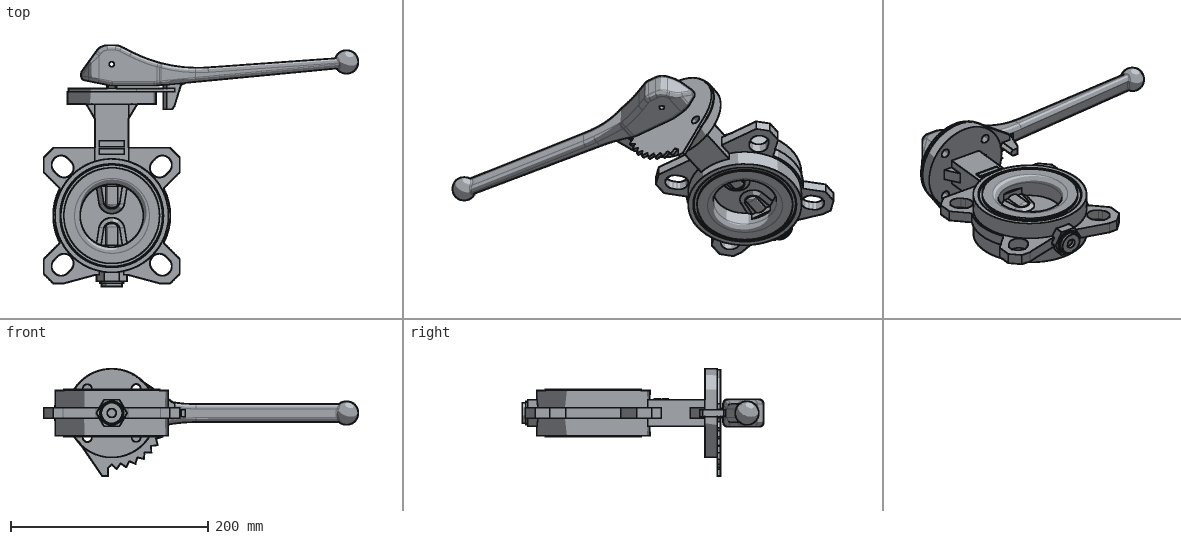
import cadquery as cq
import math

JOIN_DEPTH = 0.5

BODY_DIA = 115.0
BODY_HALF = 23.0
BAND_DIA = 119.0
LUG_HALF_THICK = 5.5
LINER_DIA = 97.0
LINER_HALF = 24.0
GROOVE_DIA = 105.0
GROOVE_DEPTH = 1.0
GROOVE_TAPER = 45.0
BORE_DIA = 64.0
BORE_ROUND = 6.0
FLAT_Y = 30.0
FLAT_HALF_Z = 12.0

LUG_HALF = 69.0
LUG_CHAMFER = 10.0
LUG_INNER = 44.0
LUG_NECK_X = 52.5
LUG_FOOT_X = 49.4
LUG_ROOT = (16.0, -60.0)
SLOT_WIDTH = 19.0
SLOT_OUTER_RADIUS = 72.5
SLOT_INNER_RADIUS = 68.3

NECK_WIDTH = 34.0
NECK_HALF_Z = 13.5
FLANGE_BOTTOM = 113.0
FLANGE_TOP = 125.5
FLANGE_DIA = 90.0
FLANGE_BOLT_CIRCLE = 70.0
FLANGE_HOLE_DIA = 9.0
GUSSET_WIDTH = 9.0
GUSSET_HEIGHT = 15.0
PAD_WIDTH = 25.0
PAD_HEIGHT = 6.0
PAD_RAISE = 1.0
PAD_CENTRES_Y = (65.0, 73.0)

PLATE_TOP = 129.0
PLATE_RADIUS = 44.0
NOTCH_COUNT = 10
NOTCH_PITCH = 90.0 / (NOTCH_COUNT - 1)
VALLEY_RADIUS = 52.0
TIP_RADIUS = 57.0
STOP_RADIUS = 64.0
STOP_OFFSET = 3.7
STOP_WIDTH = 5.9

HEX_FLATS = 27.0
HEX_END = 66.5
COLLAR_DIA = 24.0
COLLAR_END = 68.3
CAP_DIA = 21.0
CAP_END = 72.0
SOCKET_DIA = 9.0
SOCKET_DEPTH = 4.0

DISC_HALF = 2.5
HUB_DIA = 16.0
HUB_INNER_Y = 8.0
HUB_END_ROUND = 3.5
SKIRT_END_Y = 2.0
SKIRT_TURN_Y = 11.5
SKIRT_INNER_HALF = 12.8
SKIRT_OUTER_HALF = 16.6
SKIRT_OUTER_Y = 36.0
SKIRT_HEIGHT = 2.8
SKIRT_TAPER = 60.0

HEAD_TOP = 172.7
HEAD_BOTTOM = 131.4
NOSE_LOW_POINT = (-35.7, 138.7)
HEAD_TOP_START = (-11.3, HEAD_TOP)
HEAD_TOP_END = (7.0, HEAD_TOP)
BACK_TURN = (56.5, 147.4)
GRIP_END_TOP = (232.0, 159.9)
GRIP_END_BOTTOM = (232.0, 149.4)
HEAD_BOTTOM_END = (43.0, HEAD_BOTTOM)
HEAD_BOTTOM_START = (0.0, HEAD_BOTTOM)
HEAD_TOP_ROUND = 13.6
BACK_ROUND = 147.0
HEAD_HALF_Z = 14.0
HEAD_END_X = 47.0
GRIP_HALF_Z = 9.2
GRIP_START_X = 67.0
NOSE_X = -33.2
NOSE_BEND_ROUND = 15.0
HEAD_END_ROUND = 12.0
GRIP_START_ROUND = 150.0
EDGE_ROUND = 4.8
BALL_DIA = 24.0
BALL_CENTRE = (237.91, 155.7)
BALL_JOINT_ROUND = 2.0
PIN_HOLE_DIA = 5.0
PIN_HOLE_Y = 153.4
STEM_SIDE = 10.0
STEM_CHAMFER = 1.4
STEM_ROOT_Y = PIN_HOLE_Y - PIN_HOLE_DIA
PAWL_TIP_Y = 107.7
PAWL_HALF_Z = 3.5
PAWL_ROOT_X = 75.0
PAWL_ROOT_Y = 137.0
PAWL_BACK = [
    (61.2, PAWL_TIP_Y),
    (63.7, 111.0),
    (70.2, 132.3),
    (PAWL_ROOT_X, 134.6),
    (PAWL_ROOT_X, PAWL_ROOT_Y),
]


def disc_along_z(diameter, half):
    return cq.Workplane("XY").circle(diameter / 2).extrude(half, both=True)


def workplane_at_y(y):
    """Plane facing +Y whose local x is X and whose local y is -Z."""
    return cq.Workplane(cq.Plane(origin=(0, y, 0), xDir=(1, 0, 0), normal=(0, 1, 0)))


def lower_plane_at_y(y):
    """Plane facing -Y whose local x is X and whose local y is Z."""
    return cq.Workplane("XZ", origin=(0, y, 0))


def make_lugs():
    foot_chamfer = LUG_HALF - LUG_CHAMFER
    neck_y = LUG_INNER - (LUG_HALF - LUG_NECK_X)
    right_side = [
        (foot_chamfer, LUG_HALF),
        (LUG_HALF, foot_chamfer),
        (LUG_HALF, LUG_INNER),
        (LUG_NECK_X, neck_y),
        (LUG_NECK_X, -neck_y),
        (LUG_HALF, -LUG_INNER),
        (LUG_HALF, -foot_chamfer),
        (foot_chamfer, -LUG_HALF),
        (LUG_FOOT_X, -LUG_HALF),
        LUG_ROOT,
    ]
    left_side = [(-x, y) for x, y in reversed(right_side)]
    lugs = cq.Workplane("XY").polyline(right_side + left_side).close().extrude(LUG_HALF_THICK, both=True)
    return lugs.union(disc_along_z(BAND_DIA, LUG_HALF_THICK))


def cut_lug_slots(body):
    slot_radius = (SLOT_OUTER_RADIUS + SLOT_INNER_RADIUS) / 2
    slot_length = SLOT_OUTER_RADIUS - SLOT_INNER_RADIUS + SLOT_WIDTH
    slots = (
        cq.Workplane("XY")
        .polarArray(slot_radius, 45, 360, 4)
        .slot2D(slot_length, SLOT_WIDTH)
        .extrude(LUG_HALF_THICK, both=True)
    )
    return body.cut(slots)


def make_ring():
    """Round body with the raised liner faces and the groove around each of them."""
    ring = disc_along_z(BODY_DIA, BODY_HALF)
    groove = (
        cq.Workplane("XY", origin=(0, 0, BODY_HALF))
        .circle(GROOVE_DIA / 2)
        .extrude(-GROOVE_DEPTH, taper=GROOVE_TAPER)
    )
    ring = ring.cut(groove).cut(groove.mirror("XY"))
    return ring.union(disc_along_z(LINER_DIA, LINER_HALF))


def make_bore():
    """Space inside the liner: a round bore with rounded mouths and two flat stem seats."""
    radius = BORE_DIA / 2
    mouth_start = LINER_HALF - BORE_ROUND
    mouth_mid = BORE_ROUND * (1 - math.sqrt(0.5))
    mouth_mid_z = LINER_HALF - mouth_mid
    bore = (
        cq.Workplane("XZ")
        .moveTo(0, -LINER_HALF)
        .lineTo(radius + BORE_ROUND, -LINER_HALF)
        .threePointArc((radius + mouth_mid, -mouth_mid_z), (radius, -mouth_start))
        .lineTo(radius, mouth_start)
        .threePointArc((radius + mouth_mid, mouth_mid_z), (radius + BORE_ROUND, LINER_HALF))
        .lineTo(0, LINER_HALF)
        .close()
        .revolve(360, (0, 0, 0), (0, 1, 0))
    )
    seat_depth = radius - FLAT_Y
    seats = (
        cq.Workplane("XY")
        .pushPoints([(0, side * (FLAT_Y + seat_depth / 2)) for side in (1, -1)])
        .box(BORE_DIA, seat_depth, 2 * FLAT_HALF_Z)
    )
    return bore.cut(seats)


def make_hub():
    """Half-round stem hub on a spread skirt, on the upper face of the disc at its +Y end."""
    skirt = (
        cq.Workplane("XY", origin=(0, 0, DISC_HALF))
        .moveTo(-SKIRT_OUTER_HALF, SKIRT_OUTER_Y)
        .lineTo(-SKIRT_INNER_HALF, SKIRT_TURN_Y)
        .threePointArc((0, SKIRT_END_Y), (SKIRT_INNER_HALF, SKIRT_TURN_Y))
        .lineTo(SKIRT_OUTER_HALF, SKIRT_OUTER_Y)
        .close()
        .extrude(SKIRT_HEIGHT, taper=SKIRT_TAPER)
    )
    ridge_length = FLAT_Y + JOIN_DEPTH - HUB_INNER_Y
    ridge = workplane_at_y(HUB_INNER_Y).circle(HUB_DIA / 2).extrude(ridge_length)
    ridge = ridge.faces("<Y").edges().fillet(HUB_END_ROUND)
    return skirt.union(ridge)


def make_disc():
    """Closing disc with hubs on both faces at both ends, sunk a little into the bore wall."""
    rim = disc_along_z(BORE_DIA + 2 * JOIN_DEPTH, BODY_HALF)
    disc = disc_along_z(BORE_DIA + 2 * JOIN_DEPTH, DISC_HALF)
    hub = make_hub()
    for turn in (0, 180):
        turned = hub.rotate((0, 0, 0), (0, 0, 1), turn)
        disc = disc.union(turned).union(turned.mirror("XY"))
    return disc.intersect(rim)


def make_neck():
    neck_centre = (0, FLANGE_BOTTOM / 2, 0)
    neck = cq.Workplane("XY").box(NECK_WIDTH, FLANGE_BOTTOM, 2 * NECK_HALF_Z).translate(neck_centre)
    gusset_x = NECK_WIDTH / 2 + GUSSET_WIDTH
    gussets = (
        cq.Workplane("XY")
        .moveTo(-gusset_x, FLANGE_BOTTOM)
        .lineTo(gusset_x, FLANGE_BOTTOM)
        .lineTo(NECK_WIDTH / 2, FLANGE_BOTTOM - GUSSET_HEIGHT)
        .lineTo(-NECK_WIDTH / 2, FLANGE_BOTTOM - GUSSET_HEIGHT)
        .close()
        .extrude(LUG_HALF_THICK, both=True)
    )
    pads = (
        cq.Workplane("XY", origin=(0, 0, NECK_HALF_Z))
        .pushPoints([(0, y) for y in PAD_CENTRES_Y])
        .rect(PAD_WIDTH, PAD_HEIGHT)
        .extrude(PAD_RAISE)
    )
    return neck.union(gussets).union(pads)


def polar(radius, degrees):
    """Point in the X-Z plane at an angle measured from +X toward +Z."""
    angle = math.radians(degrees)
    return (radius * math.cos(angle), radius * math.sin(angle))


def make_notched_plate():
    """Ratchet plate whose notches fill the quarter from -Z to +X, between two stops."""
    side = STOP_OFFSET
    far_side = STOP_OFFSET + STOP_WIDTH
    wall_start = VALLEY_RADIUS + STOP_OFFSET
    corner_angle = math.degrees(math.atan2(far_side, STOP_RADIUS))
    tangent_turn = math.degrees(math.acos(PLATE_RADIUS / math.hypot(STOP_RADIUS, far_side)))
    tangent_angle = corner_angle + tangent_turn
    outline = (
        cq.Workplane("XZ", origin=(0, FLANGE_TOP, 0))
        .moveTo(-far_side, -STOP_RADIUS)
        .lineTo(-side, -STOP_RADIUS)
        .lineTo(-side, -wall_start)
    )
    for notch in range(NOTCH_COUNT):
        valley_angle = -90 + notch * NOTCH_PITCH
        outline = outline.lineTo(*polar(VALLEY_RADIUS, valley_angle))
        if notch < NOTCH_COUNT - 1:
            outline = outline.lineTo(*polar(TIP_RADIUS, valley_angle + NOTCH_PITCH / 2))
    return (
        outline.lineTo(wall_start, side)
        .lineTo(STOP_RADIUS, side)
        .lineTo(STOP_RADIUS, far_side)
        .lineTo(*polar(PLATE_RADIUS, tangent_angle))
        .threePointArc(polar(PLATE_RADIUS, 135), polar(PLATE_RADIUS, 270 - tangent_angle))
        .close()
        .extrude(FLANGE_TOP - PLATE_TOP)
    )


def make_flange():
    """Top flange with four bolt holes; two of them also pass through the notched plate."""
    hole_radius = FLANGE_BOLT_CIRCLE / 2
    flange = workplane_at_y(FLANGE_BOTTOM).circle(FLANGE_DIA / 2).extrude(FLANGE_TOP - FLANGE_BOTTOM)
    flange_holes = (
        workplane_at_y(FLANGE_BOTTOM)
        .polarArray(hole_radius, 45, 360, 4)
        .circle(FLANGE_HOLE_DIA / 2)
        .extrude(FLANGE_TOP - FLANGE_BOTTOM)
    )
    plate_holes = (
        workplane_at_y(FLANGE_BOTTOM)
        .polarArray(hole_radius, -45, 360, 2)
        .circle(FLANGE_HOLE_DIA / 2)
        .extrude(PLATE_TOP - FLANGE_BOTTOM)
    )
    return flange.cut(flange_holes).union(make_notched_plate()).cut(plate_holes)


def make_stem_cap():
    """Hexagon boss with a stepped round cap and a blind socket, at the -Y end."""
    cap = lower_plane_at_y(0).polygon(6, HEX_FLATS / math.cos(math.pi / 6)).extrude(HEX_END)
    for diameter, end in ((COLLAR_DIA, COLLAR_END), (CAP_DIA, CAP_END)):
        cap = cap.union(lower_plane_at_y(0).circle(diameter / 2).extrude(end))
    socket = lower_plane_at_y(SOCKET_DEPTH - CAP_END).circle(SOCKET_DIA / 2).extrude(SOCKET_DEPTH)
    return cap.cut(socket)


def make_valve():
    valve = make_lugs()
    valve = cut_lug_slots(valve)
    valve = valve.union(make_ring()).union(make_neck()).union(make_stem_cap())
    valve = valve.cut(make_bore()).union(make_disc())
    return valve.union(make_flange())


def corner_edges(x, other, axis):
    """Selector for edges that run along the axis through the corner at (x, other)."""
    reach = 1.0
    far = 2 * HEAD_TOP
    if axis == "Z":
        return cq.selectors.BoxSelector((x - reach, other - reach, -far), (x + reach, other + reach, far))
    return cq.selectors.BoxSelector((x - reach, -far, other - reach), (x + reach, far, other + reach))


def make_lever_profile():
    """Side outline of head and grip, in the XY plane, extruded over the full head width."""
    outline = [
        NOSE_LOW_POINT,
        HEAD_TOP_START,
        HEAD_TOP_END,
        BACK_TURN,
        GRIP_END_TOP,
        GRIP_END_BOTTOM,
        HEAD_BOTTOM_END,
        HEAD_BOTTOM_START,
    ]
    profile = cq.Workplane("XY").polyline(outline).close().extrude(HEAD_HALF_Z, both=True)
    corners = (
        (HEAD_TOP_START, HEAD_TOP_ROUND),
        (HEAD_TOP_END, HEAD_TOP_ROUND),
        (BACK_TURN, BACK_ROUND),
    )
    for corner, radius in corners:
        profile = profile.edges(corner_edges(*corner, "Z")).fillet(radius)
    return profile


def make_lever_plan():
    """Outline of the lever seen along Y: pointed nose, parallel head and slimmer grip."""
    nose_end = (NOSE_X + HEAD_HALF_Z, HEAD_HALF_Z)
    head_end = (HEAD_END_X, HEAD_HALF_Z)
    grip_start = (GRIP_START_X, GRIP_HALF_Z)
    one_side = [nose_end, head_end, grip_start, (BALL_CENTRE[0], GRIP_HALF_Z)]
    other_side = [(x, -z) for x, z in reversed(one_side)]
    plan = (
        lower_plane_at_y(HEAD_TOP)
        .polyline([(NOSE_X, 0), *one_side, *other_side])
        .close()
        .extrude(HEAD_TOP - HEAD_BOTTOM)
    )
    corners = ((nose_end, NOSE_BEND_ROUND), (head_end, HEAD_END_ROUND), (grip_start, GRIP_START_ROUND))
    for (x, z), radius in corners:
        for side in (1, -1):
            plan = plan.edges(corner_edges(x, side * z, "Y")).fillet(radius)
    return plan


def make_pawl():
    """Finger below the lever that fits the last notch of the plate with its wedge edge."""
    wedge_end = VALLEY_RADIUS + PAWL_HALF_Z
    section = (
        lower_plane_at_y(PAWL_ROOT_Y)
        .moveTo(VALLEY_RADIUS, 0)
        .lineTo(wedge_end, PAWL_HALF_Z)
        .lineTo(PAWL_ROOT_X, PAWL_HALF_Z)
        .lineTo(PAWL_ROOT_X, -PAWL_HALF_Z)
        .lineTo(wedge_end, -PAWL_HALF_Z)
        .close()
        .extrude(PAWL_ROOT_Y - PAWL_TIP_Y)
    )
    side = (
        cq.Workplane("XY")
        .moveTo(VALLEY_RADIUS, PAWL_TIP_Y)
        .polyline(PAWL_BACK, includeCurrent=True)
        .lineTo(VALLEY_RADIUS, PAWL_ROOT_Y)
        .close()
        .extrude(PAWL_HALF_Z, both=True)
    )
    return section.intersect(side)


def make_lever():
    lever = make_lever_profile().intersect(make_lever_plan())
    edge_zone = cq.selectors.BoxSelector(
        (2 * NOSE_X, 0, -2 * HEAD_HALF_Z), (GRIP_END_TOP[0] - EDGE_ROUND, 2 * HEAD_TOP, 2 * HEAD_HALF_Z)
    )
    lever = lever.edges(edge_zone).fillet(EDGE_ROUND)
    ball = cq.Workplane("XY").sphere(BALL_DIA / 2).translate((*BALL_CENTRE, 0))
    stem = (
        workplane_at_y(PLATE_TOP)
        .rect(STEM_SIDE, STEM_SIDE)
        .extrude(STEM_ROOT_Y - PLATE_TOP)
        .edges("|Y")
        .chamfer(STEM_CHAMFER)
    )
    pin_hole = disc_along_z(PIN_HOLE_DIA, HEAD_HALF_Z).translate((0, PIN_HOLE_Y, 0))
    lever = lever.union(ball)
    ball_joint = cq.selectors.BoxSelector(
        (BALL_CENTRE[0] - BALL_DIA / 2, 0, -BALL_DIA), (BALL_CENTRE[0], 2 * HEAD_TOP, BALL_DIA)
    )
    lever = lever.edges(ball_joint).fillet(BALL_JOINT_ROUND)
    return lever.union(stem).union(make_pawl()).cut(pin_hole)


valve = make_valve()
lever = make_lever()
result = cq.Compound.makeCompound([*valve.vals(), *lever.vals()])